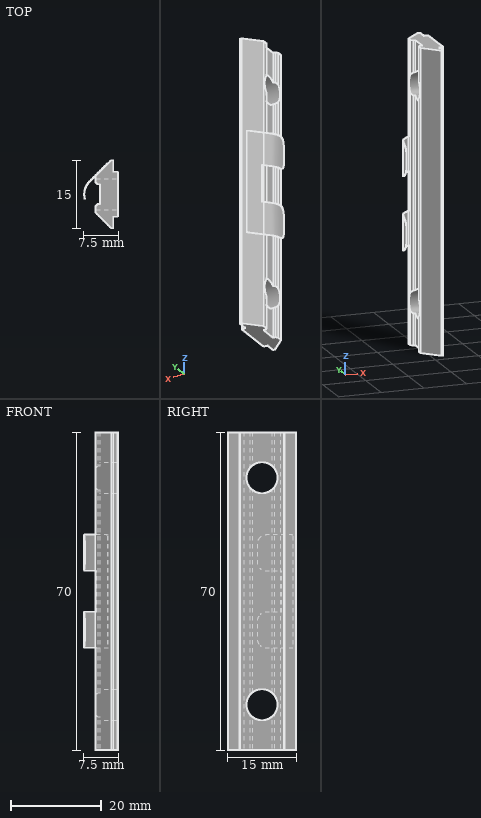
import cadquery as cq
import math

rail_length = 70.0
rail_width = 15.0
rail_depth = 5.0
half_width = rail_width / 2
front_half_width = 4.0
back_half_width = 5.0
back_step_depth = 1.0
back_chamfer = 0.2
channel_depth = 1.0
channel_half_width = 2.15
channel_chamfer = 0.5
hole_diameter = 6.8
hole_spacing = 50.0

sheet_thickness = 0.1
spring_length = 25.0
spring_projection = 2.5
tab_gap = 9.0
curl_radius = 4.0
spring_top_y = 6.8
web_edge_y = 4.25
tab_tip_y = -1.05
tab_corner_radius = 2.0
sheet_corner_radius = 0.3

slope_rise = half_width - front_half_width
slope_end_x = -rail_depth + slope_rise


def build_rail():
    channel_floor_x = -rail_depth + channel_depth
    upper_half = [
        (channel_floor_x, channel_half_width),
        (-rail_depth + channel_chamfer, channel_half_width),
        (-rail_depth, channel_half_width + channel_chamfer),
        (-rail_depth, front_half_width),
        (slope_end_x, half_width),
        (-back_step_depth, half_width),
        (-back_step_depth, back_half_width),
        (-back_chamfer, back_half_width),
        (0, back_half_width - back_chamfer),
    ]
    lower_half = [(x, -y) for x, y in reversed(upper_half)]
    bar = (
        cq.Workplane("XY")
        .polyline(upper_half + lower_half)
        .close()
        .extrude(rail_length / 2, both=True)
    )
    holes = (
        cq.Workplane("YZ")
        .pushPoints([(0, -hole_spacing / 2), (0, hole_spacing / 2)])
        .circle(hole_diameter / 2)
        .extrude(-rail_depth)
    )
    return bar.cut(holes)


def build_bent_sheet():
    """Full-length sheet: flat on the slope, then curled around an axis along Z."""
    inner_radius = curl_radius - sheet_thickness
    slope_offset = rail_depth + front_half_width
    center_x = -rail_depth - spring_projection + curl_radius
    center_y = center_x + slope_offset - inner_radius * math.sqrt(2)
    start_angle = math.radians(135)
    end_angle = math.pi - math.asin((tab_tip_y - center_y) / curl_radius)
    middle_angle = (start_angle + end_angle) / 2

    def on_curl(radius, angle):
        return (center_x + radius * math.cos(angle), center_y + radius * math.sin(angle))

    sheet_offset = sheet_thickness / math.sqrt(2)
    inner_top_x = spring_top_y - sheet_offset - slope_offset
    return (
        cq.Workplane("XY")
        .moveTo(inner_top_x - sheet_offset, spring_top_y)
        .lineTo(*on_curl(curl_radius, start_angle))
        .threePointArc(on_curl(curl_radius, middle_angle), on_curl(curl_radius, end_angle))
        .lineTo(*on_curl(inner_radius, end_angle))
        .threePointArc(on_curl(inner_radius, middle_angle), on_curl(inner_radius, start_angle))
        .lineTo(inner_top_x, spring_top_y - sheet_offset)
        .close()
        .extrude(spring_length / 2, both=True)
    )


def build_spring():
    """Bent sheet trimmed to its outline: a strip along the slope with two tabs."""
    tab_width = (spring_length - tab_gap) / 2
    tab_center_z = (tab_gap + tab_width) / 2
    blank_depth = 2 * rail_depth
    outline = (
        cq.Workplane("YZ")
        .center((spring_top_y + web_edge_y) / 2, 0)
        .rect(spring_top_y - web_edge_y, spring_length)
        .extrude(-blank_depth)
        .edges("|X and >Y")
        .fillet(sheet_corner_radius)
    )
    for tab_z in (-tab_center_z, tab_center_z):
        tab = (
            cq.Workplane("YZ")
            .center((web_edge_y + tab_tip_y) / 2, tab_z)
            .rect(web_edge_y - tab_tip_y, tab_width)
            .extrude(-blank_depth)
            .edges("|X and <Y")
            .fillet(tab_corner_radius)
        )
        outline = outline.union(tab)
    return build_bent_sheet().intersect(outline)


rail = build_rail()
spring = build_spring()
result = cq.Compound.makeCompound([rail.val(), spring.val()])